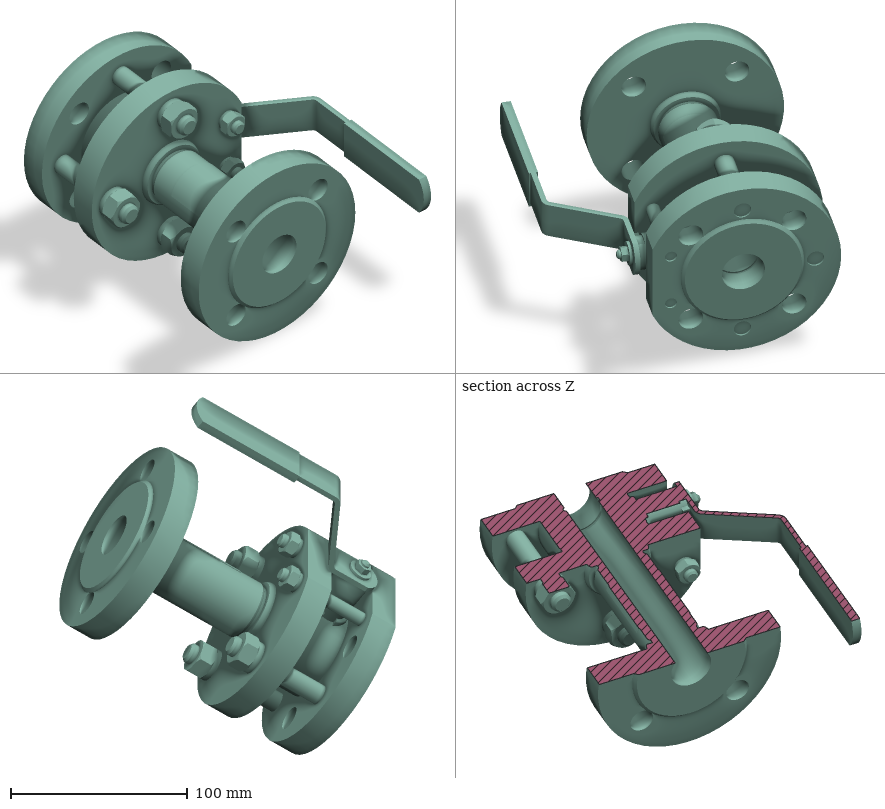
import cadquery as cq
import math


length_over_faces = 159.9
flange_diameter = 115.0
flange_thickness = 16.0
raised_face_height = 2.0
raised_face_diameter = 71.9
raised_face_chamfer = 1.9
middle_flange_start = 46.5
flange_flat_y = 52.4
bolt_circle_radius = 42.5
bolt_hole_diameter = 14.2
bore_diameter = 25.0

inlet_flange_start = raised_face_height
inlet_flange_end = inlet_flange_start + flange_thickness
middle_flange_end = middle_flange_start + flange_thickness
outlet_flange_end = length_over_faces - raised_face_height
outlet_flange_start = outlet_flange_end - flange_thickness

groove_start = 14.2
groove_width = 2.0
groove_diameter = 26.8

housing_radius = 28.5
housing_step_start = 44.0
housing_step_radius = 28.2

hub_radius = 20.7
hub_length = 3.5
hub_rounding = 1.4
neck_radius = 16.2
neck_length = 1.5
pipe_radius = 17.5
pipe_taper_length = 1.7
label_start = 84.3
label_length = 40.3
label_radius = 17.8
label_edge_z = 4.5

stud_recess_depth = 1.0

nut_chamfer_share = 0.45

large_stud_angles = (90, 180, 270)
small_stud_angles = (-22, 22)
small_stud_radius = 45
large_stud = {
    "diameter": 12.0,
    "recess_diameter": 10.0,
    "washer_diameter": 19.2,
    "washer_height": 3.3,
    "nut_flats": 19,
    "nut_height": 9.7,
    "end_x": 80.0,
    "end_chamfer": 1.5,
}
small_stud = {
    "diameter": 8.1,
    "recess_diameter": 6.9,
    "washer_diameter": 12.1,
    "washer_height": 2.0,
    "nut_flats": 13.0,
    "nut_height": 6.2,
    "end_x": 74.3,
    "end_chamfer": 1.0,
}

stem_x = 31.5
column_radius = 10.4
column_top_y = 55.3
collar_radius = 12.8
collar_top_y = 29.9
collar_rounding = 1.2
collar_slot_width = 8.3
stop_ledge_y = 51.0
stop_inner_radius = 9.3
stop_start_angle = 118
stop_tab_reach = 11.0
stop_tab_width = 4.8

lever_thickness = 3.1
lever_width = 22.1
lever_end_radius = 12.6
lever_slope = 60
upper_arm_mid_y = 98.0
lower_bend_x = 49.8
bend_inner_radius = 2.8
grip_start = 101.8
grip_end = 172.8
grip_thickness = 5.4
grip_top_z = lever_width / 2
grip_width = 23.9
grip_side_end = 168.5

stem_washer_diameter = 14.0
stem_washer_thickness = 1.7
stem_nut_across_flats = 8.1
stem_nut_height = 4.0
stem_thread_diameter = 5.4
stem_thread_length = 2.2
stem_thread_chamfer = 1.0


def cylinder_x(x_start, length, radius, y=0):
    """Cylinder along X with its axis at the given y."""
    return cq.Workplane("YZ", origin=(x_start, y, 0)).circle(radius).extrude(length)


def cylinder_y(y_start, length, radius):
    """Cylinder along +Y on the stem axis."""
    return cq.Workplane("XZ", origin=(stem_x, y_start, 0)).circle(radius).extrude(-length)


def hexagon_nut_x(x_start, length, across_flats):
    """Hexagonal prism along X with corners on the Y axis and chamfered corners at both ends."""
    across_corners = across_flats / math.cos(math.pi / 6)
    prism = cq.Workplane("YZ", origin=(x_start, 0, 0)).polygon(6, across_corners).extrude(length)
    corner_chamfer = (across_corners - across_flats) * nut_chamfer_share
    envelope = cylinder_x(x_start, length, across_corners / 2).edges().chamfer(corner_chamfer)
    return prism.intersect(envelope)


def flange(x_start):
    return cylinder_x(x_start, flange_thickness, flange_diameter / 2)


def trim_flat(body):
    """Flatten the stem side of the inlet and middle flanges."""
    box = cq.Workplane("XY").box(middle_flange_end, flange_diameter, flange_diameter, (False, False, True))
    return body.cut(box.translate((0, flange_flat_y, 0)))


def bolt_holes(x_start):
    """Four through holes at 45 degrees to the Y and Z axes."""
    plane = cq.Workplane("YZ", origin=(x_start, 0, 0))
    centres = plane.polarArray(bolt_circle_radius, 45, 360, 4)
    return centres.circle(bolt_hole_diameter / 2).extrude(flange_thickness)


def stud_assembly(sizes, radius, angle):
    """Stud through both inlet-end flanges with a washer and nut, at an angle from +Y about X."""
    start_x = inlet_flange_start + stud_recess_depth
    nut_x = middle_flange_end + sizes["washer_height"]
    stud = cylinder_x(start_x, sizes["end_x"] - start_x, sizes["diameter"] / 2)
    stud = stud.faces(">X").chamfer(sizes["end_chamfer"])
    washer = cylinder_x(middle_flange_end, sizes["washer_height"], sizes["washer_diameter"] / 2)
    nut = hexagon_nut_x(nut_x, sizes["nut_height"], sizes["nut_flats"])
    body = stud.union(washer).union(nut).translate((0, radius, 0))
    return body.rotate((0, 0, 0), (1, 0, 0), angle)


def stud_recess(sizes, radius, angle):
    recess = cylinder_x(inlet_flange_start, stud_recess_depth, sizes["recess_diameter"] / 2, radius)
    return recess.rotate((0, 0, 0), (1, 0, 0), angle)


def extension_pipe():
    """Revolved hubs, necks and pipe; built as a half profile mirrored about its middle."""
    hub_end = middle_flange_end + hub_length
    neck_end = hub_end + neck_length
    taper_end = neck_end + pipe_taper_length
    middle = (middle_flange_end + outlet_flange_start) / 2
    rounding_middle = (middle_flange_end + hub_length / 2, hub_radius - hub_rounding / 4)
    half = (
        cq.Workplane("XY")
        .moveTo(middle_flange_end, 0)
        .lineTo(middle_flange_end, hub_radius)
        .threePointArc(rounding_middle, (hub_end, hub_radius - hub_rounding))
        .lineTo(hub_end, neck_radius)
        .lineTo(neck_end, neck_radius)
        .lineTo(taper_end, pipe_radius)
        .lineTo(middle, pipe_radius)
        .lineTo(middle, 0)
        .close()
        .revolve(360, (0, 0, 0), (1, 0, 0))
    )
    return half.union(half.mirror("YZ", (middle, 0, 0)))


def label_plate():
    """Thin plate wrapped over the upper side of the pipe."""
    edge_y = math.sqrt(label_radius**2 - label_edge_z**2)
    return (
        cq.Workplane("YZ", origin=(label_start, 0, 0))
        .moveTo(-edge_y, label_edge_z)
        .threePointArc((0, label_radius), (edge_y, label_edge_z))
        .close()
        .extrude(label_length)
    )


def housing():
    """Ball housing with the stem column standing on a low collar that is split in two by a slot."""
    barrel = cylinder_x(inlet_flange_end, housing_step_start - inlet_flange_end, housing_radius)
    step_length = middle_flange_start - housing_step_start
    step = cylinder_x(housing_step_start, step_length, housing_step_radius)
    column = cylinder_y(0, column_top_y, column_radius)
    collar = cylinder_y(0, collar_top_y, collar_radius).faces(">Y").edges().fillet(collar_rounding)
    slot = cq.Workplane("XY").box(collar_slot_width, 2 * collar_top_y, 2 * housing_radius)
    collar = collar.cut(slot.translate((stem_x, 0, 0)))
    return barrel.union(step).union(collar).union(column)


def stop_notch():
    """Shallow notch part of the way around the column top that limits the lever travel."""
    depth = column_top_y - stop_ledge_y
    core = cylinder_y(stop_ledge_y, depth, stop_inner_radius)
    ring = cylinder_y(stop_ledge_y, depth, column_radius).cut(core)
    reach = 2 * column_radius
    start = math.radians(stop_start_angle)
    sector = (
        cq.Workplane("XZ", origin=(stem_x, stop_ledge_y, 0))
        .polyline([(0, 0), (reach, 0), (reach, reach), (reach * math.cos(start), reach * math.sin(start))])
        .close()
        .extrude(-depth)
    )
    return ring.intersect(sector)


def stop_tab():
    """Block beside the notch that stands slightly proud of the column."""
    depth = column_top_y - stop_ledge_y
    tab = cq.Workplane("XY").box(stop_tab_reach, depth, stop_tab_width, (False, False, False))
    return tab.translate((stem_x, stop_ledge_y, 0))


def bend_edges(points):
    """Selector for the strip edges along Z through the given points."""
    reach = lever_thickness / 2
    boxes = [
        cq.selectors.BoxSelector((x - reach, y - reach, -reach), (x + reach, y + reach, reach))
        for x, y in points
    ]
    return boxes[0] + boxes[1]


def lever():
    """Bent strip with a round end about the stem axis."""
    start_x = stem_x - lever_end_radius
    lower_mid_y = column_top_y + lever_thickness / 2
    slope = math.radians(lever_slope)
    upper_bend_x = lower_bend_x + (upper_arm_mid_y - lower_mid_y) / math.tan(slope)
    shift_x = lever_thickness / 2 * math.tan(slope / 2)
    shift_y = lever_thickness / 2
    outline = [
        (start_x, lower_mid_y + shift_y),
        (lower_bend_x - shift_x, lower_mid_y + shift_y),
        (upper_bend_x - shift_x, upper_arm_mid_y + shift_y),
        (grip_start, upper_arm_mid_y + shift_y),
        (grip_start, upper_arm_mid_y - shift_y),
        (upper_bend_x + shift_x, upper_arm_mid_y - shift_y),
        (lower_bend_x + shift_x, lower_mid_y - shift_y),
        (start_x, lower_mid_y - shift_y),
    ]
    strip = cq.Workplane("XY").polyline(outline).close().extrude(lever_width / 2, both=True)
    inner_bends = [outline[1], outline[5]]
    outer_bends = [outline[2], outline[6]]
    strip = strip.edges(bend_edges(inner_bends)).fillet(bend_inner_radius)
    strip = strip.edges(bend_edges(outer_bends)).fillet(bend_inner_radius + lever_thickness)
    round_end = cylinder_y(lower_mid_y - shift_y, lever_thickness, lever_end_radius)
    end_block = cq.Workplane("XY").box(lever_end_radius, lever_thickness, lever_width, (False, True, True))
    waste = end_block.translate((start_x, lower_mid_y, 0)).cut(round_end)
    return strip.cut(waste)


def grip():
    """Sleeve over the end of the lever, with a bowed outer end."""
    bottom_z = grip_top_z - grip_width
    middle_z = grip_top_z - grip_width / 2
    return (
        cq.Workplane("XZ", origin=(0, upper_arm_mid_y, 0))
        .moveTo(grip_start, bottom_z)
        .lineTo(grip_side_end, bottom_z)
        .threePointArc((grip_end, middle_z), (grip_side_end, grip_top_z))
        .lineTo(grip_start, grip_top_z)
        .close()
        .extrude(grip_thickness / 2, both=True)
    )


def stem_fastener():
    """Washer, hexagon nut and chamfered thread end that hold the lever on the stem."""
    washer_y = column_top_y + lever_thickness
    nut_y = washer_y + stem_washer_thickness
    washer = cylinder_y(washer_y, stem_washer_thickness, stem_washer_diameter / 2)
    across_corners = stem_nut_across_flats / math.cos(math.pi / 6)
    nut = cq.Workplane("XZ").polygon(6, across_corners).extrude(-stem_nut_height)
    nut = nut.rotate((0, 0, 0), (0, 1, 0), 90).translate((stem_x, nut_y, 0))
    thread = cylinder_y(nut_y, stem_nut_height + stem_thread_length, stem_thread_diameter / 2)
    thread = thread.faces(">Y").chamfer(stem_thread_chamfer)
    return washer.union(nut).union(thread)


def raised_face():
    """Raised sealing face at the inlet end, with a chamfered rim."""
    disc = cylinder_x(0, raised_face_height, raised_face_diameter / 2)
    return disc.faces("<X").chamfer(raised_face_chamfer)


outlet_face = raised_face().mirror("YZ", (length_over_faces / 2, 0, 0))
result = trim_flat(flange(inlet_flange_start).union(flange(middle_flange_start)))
result = result.union(flange(outlet_flange_start)).union(raised_face()).union(outlet_face)

result = result.union(housing()).union(extension_pipe()).union(label_plate())

result = result.cut(stop_notch()).union(stop_tab())
result = result.union(lever()).union(grip()).union(stem_fastener())

for angle in large_stud_angles:
    result = result.union(stud_assembly(large_stud, bolt_circle_radius, angle))
    result = result.cut(stud_recess(large_stud, bolt_circle_radius, angle))
for angle in small_stud_angles:
    result = result.union(stud_assembly(small_stud, small_stud_radius, angle))
    result = result.cut(stud_recess(small_stud, small_stud_radius, angle))

result = result.cut(bolt_holes(inlet_flange_start)).cut(bolt_holes(outlet_flange_start))

result = result.cut(cylinder_x(0, length_over_faces, bore_diameter / 2))
result = result.cut(cylinder_x(groove_start, groove_width, groove_diameter / 2))